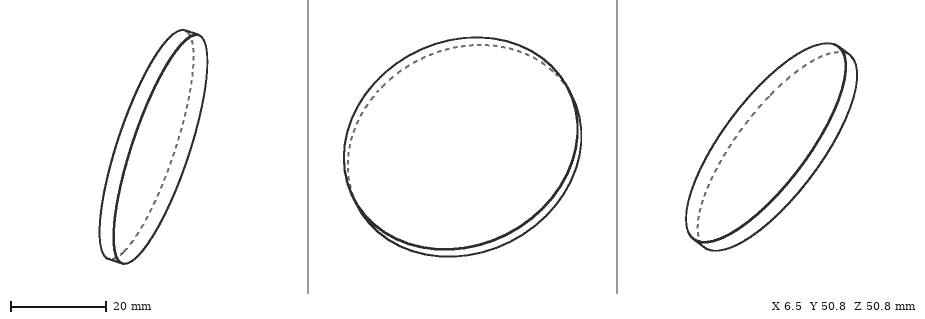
import cadquery as cq

diameter = 50.8
center_thickness = 6.5
edge_thickness = 3.35
bevel = 0.15

radius = diameter / 2
half_center = center_thickness / 2
half_edge = edge_thickness / 2
dome_rim_radius = radius - bevel
half_band = half_edge - bevel

dome_height = half_center - half_edge
sphere_radius = (dome_rim_radius**2 + dome_height**2) / (2 * dome_height)
mid_radius = dome_rim_radius / 2
mid_sag = sphere_radius - (sphere_radius**2 - mid_radius**2) ** 0.5
half_mid = half_center - mid_sag

profile = (
    cq.Workplane("XY")
    .moveTo(-half_center, 0)
    .threePointArc((-half_mid, mid_radius), (-half_edge, dome_rim_radius))
    .lineTo(-half_band, radius)
    .lineTo(half_band, radius)
    .lineTo(half_edge, dome_rim_radius)
    .threePointArc((half_mid, mid_radius), (half_center, 0))
    .close()
)

result = profile.revolve(360, (0, 0, 0), (1, 0, 0))